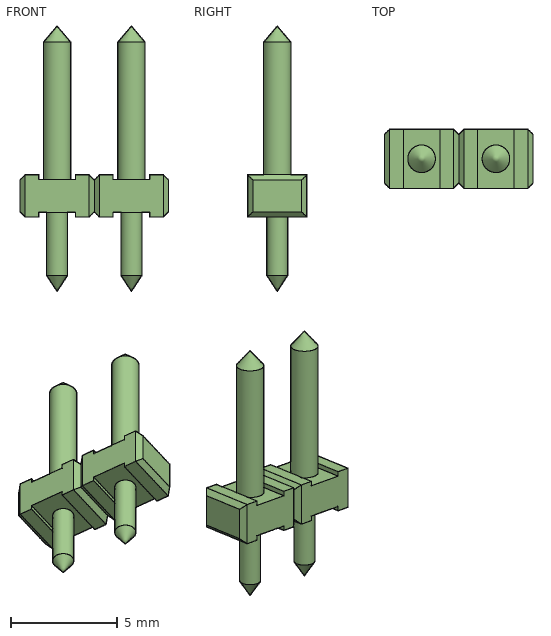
import cadquery as cq

PIN_COUNT = 2
PITCH = 3.5
TOTAL_HEIGHT = 12.5

HOUSING_DEPTH = 2.8
HOUSING_HEIGHT = 2.0
HOUSING_BOTTOM = 3.5
CELL_CHAMFER = 0.25
GROOVE_WIDTH = 1.72
GROOVE_DEPTH = 0.22

CONTACT_DIAMETER = 1.3
TAIL_DIAMETER = 1.0
TIP_LENGTH = 0.76

HOUSING_TOP = HOUSING_BOTTOM + HOUSING_HEIGHT
SEAT_TOP = HOUSING_TOP - GROOVE_DEPTH
SEAT_BOTTOM = HOUSING_BOTTOM + GROOVE_DEPTH
STEP_HEIGHT = (SEAT_BOTTOM + SEAT_TOP) / 2
PIN_POSITIONS = [(i - (PIN_COUNT - 1) / 2) * PITCH for i in range(PIN_COUNT)]


def make_pin(x):
    """Round pin with conical ends; its diameter steps inside the housing."""
    contact_radius = CONTACT_DIAMETER / 2
    tail_radius = TAIL_DIAMETER / 2
    half_profile = [
        (0, 0),
        (tail_radius, TIP_LENGTH),
        (tail_radius, STEP_HEIGHT),
        (contact_radius, STEP_HEIGHT),
        (contact_radius, TOTAL_HEIGHT - TIP_LENGTH),
        (0, TOTAL_HEIGHT),
    ]
    pin = cq.Workplane("XZ").polyline(half_profile).close().revolve(360, (0, 0), (0, 1))
    return pin.translate((x, 0, 0))


def make_cell(x):
    """One housing cell with chamfered ends and a groove across its top and bottom."""
    cell = (
        cq.Workplane("XY")
        .box(PITCH, HOUSING_DEPTH, HOUSING_HEIGHT)
        .faces("<X or >X")
        .edges()
        .chamfer(CELL_CHAMFER)
    )
    groove_offset = (HOUSING_HEIGHT - GROOVE_DEPTH) / 2
    for side in (-1, 1):
        groove = cq.Workplane("XY").box(GROOVE_WIDTH, HOUSING_DEPTH, GROOVE_DEPTH)
        cell = cell.cut(groove.translate((0, 0, side * groove_offset)))
    return cell.translate((x, 0, HOUSING_BOTTOM + HOUSING_HEIGHT / 2))


def make_housing(pins):
    """Row of joined cells, with a stepped hole matching each pin."""
    housing = make_cell(PIN_POSITIONS[0])
    for x in PIN_POSITIONS[1:]:
        housing = housing.union(make_cell(x))
    for pin in pins:
        housing = housing.cut(pin)
    return housing


pins = [make_pin(x) for x in PIN_POSITIONS]
housing = make_housing(pins)

result = cq.Compound.makeCompound([housing.val(), *[pin.val() for pin in pins]])